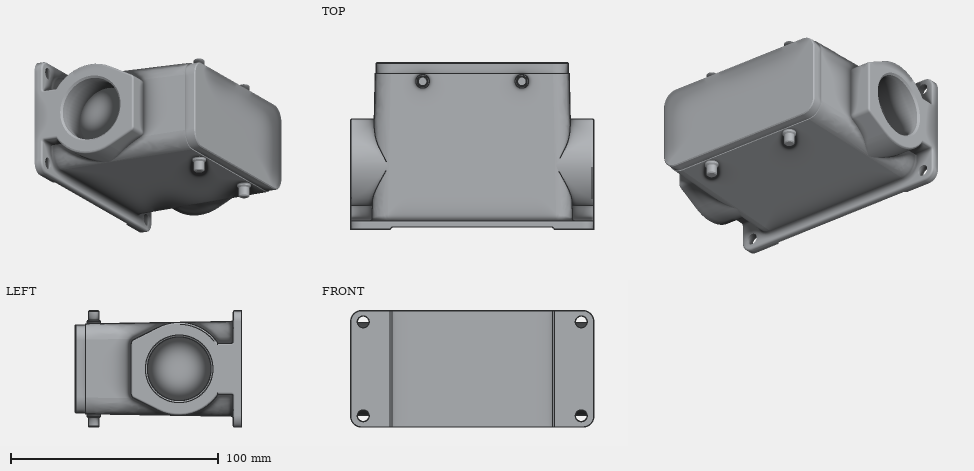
import cadquery as cq
import math


PLATE_LENGTH = 117.0
PLATE_HEIGHT = 56.0
PLATE_THICKNESS = 4.1
PLATE_CORNER_RADIUS = 5.3
MOUNTING_HOLE_DIAMETER = 5.6
MOUNTING_HOLE_INSET_X = 6.1
MOUNTING_HOLE_INSET_Z = 5.5
RECESS_LENGTH = 79.1
RECESS_DEPTH = 1.0

BODY_END = 75.0
BODY_LENGTH_AT_PLATE = 96.4
BODY_HEIGHT_AT_PLATE = 45.6
BODY_LENGTH_AT_END = 93.4
BODY_HEIGHT_AT_END = 43.3
BODY_CORNER_RADIUS = 7.7
RIM_END = 80.3
RIM_STEP = 0.5
RIM_CHAMFER = 0.5

BOSS_CENTER_Y = 30.1
BOSS_RADIUS = 22.3
BOSS_FLAT_Y = 53.1
BOSS_FLAT_HALF_HEIGHT = 13.5
BOSS_CORNER_FILLET = 2.1
BOSS_ROOT_X = 37.4
NECK_HALF_HEIGHT = 12.3
BORE_DIAMETER = 30.7
BORE_DEPTH = 19.3
BORE_CHAMFER = 0.9
EDGE_FILLET = 0.9
FOOT_FILLET = 0.9

PIN_X = 23.9
PIN_Y = 71.1
PIN_DIAMETER = 5.1
PIN_CHAMFER = 0.5
COLLAR_DIAMETER = 6.5
COLLAR_TOP = 23.5
COLLAR_CHAMFER = 0.999 * (COLLAR_DIAMETER - PIN_DIAMETER) / 2
SEAT_HEIGHT = 21.4
PIN_TOP = PLATE_HEIGHT / 2

SELECTION_MARGIN = 0.1

MIRRORED = (-1, 1)
PIN_PLACES = [(side_x * PIN_X, side_z) for side_x in MIRRORED for side_z in MIRRORED]


def section(y):
    """Workplane at height y whose normal is along +Y."""
    return cq.Workplane(cq.Plane(origin=(0, y, 0), xDir=(1, 0, 0), normal=(0, 1, 0)))


def make_plate():
    return (
        section(0)
        .rect(PLATE_LENGTH, PLATE_HEIGHT)
        .extrude(PLATE_THICKNESS)
        .edges("|Y")
        .fillet(PLATE_CORNER_RADIUS)
    )


def body_outline(length, height):
    return cq.Sketch().rect(length, height).vertices().fillet(BODY_CORNER_RADIUS)


def make_body():
    """Drafted block with rounded long edges."""
    near = body_outline(BODY_LENGTH_AT_PLATE, BODY_HEIGHT_AT_PLATE)
    far = body_outline(BODY_LENGTH_AT_END, BODY_HEIGHT_AT_END)
    far = far.moved(cq.Location(cq.Vector(0, 0, BODY_END - PLATE_THICKNESS)))
    return section(PLATE_THICKNESS).placeSketch(near, far).loft(ruled=True)


def make_rim():
    return (
        section(BODY_END)
        .rect(BODY_LENGTH_AT_END - 2 * RIM_STEP, BODY_HEIGHT_AT_END - 2 * RIM_STEP)
        .extrude(RIM_END - BODY_END)
        .edges("|Y")
        .fillet(BODY_CORNER_RADIUS - RIM_STEP)
        .faces(">Y")
        .chamfer(RIM_CHAMFER)
    )


def make_boss(side):
    """Boss whose outline has a round crown, sloping shoulders, a flat end and a straight neck."""
    corner_y = BOSS_FLAT_Y - BOSS_CENTER_Y
    corner_distance = math.hypot(corner_y, BOSS_FLAT_HALF_HEIGHT)
    tangent_angle = math.atan2(BOSS_FLAT_HALF_HEIGHT, corner_y) + math.acos(BOSS_RADIUS / corner_distance)
    tangent_y = BOSS_CENTER_Y + BOSS_RADIUS * math.cos(tangent_angle)
    tangent_z = BOSS_RADIUS * math.sin(tangent_angle)
    neck_y = BOSS_CENTER_Y - math.sqrt(BOSS_RADIUS**2 - NECK_HALF_HEIGHT**2)
    return (
        cq.Workplane("YZ", origin=(side * BOSS_ROOT_X, 0, 0))
        .moveTo(0, NECK_HALF_HEIGHT)
        .lineTo(neck_y, NECK_HALF_HEIGHT)
        .threePointArc((BOSS_CENTER_Y, BOSS_RADIUS), (tangent_y, tangent_z))
        .lineTo(BOSS_FLAT_Y, BOSS_FLAT_HALF_HEIGHT)
        .lineTo(BOSS_FLAT_Y, -BOSS_FLAT_HALF_HEIGHT)
        .lineTo(tangent_y, -tangent_z)
        .threePointArc((BOSS_CENTER_Y, -BOSS_RADIUS), (neck_y, -NECK_HALF_HEIGHT))
        .lineTo(0, -NECK_HALF_HEIGHT)
        .close()
        .extrude(side * (PLATE_LENGTH / 2 - BOSS_ROOT_X))
        .edges("|X and >Y")
        .fillet(BOSS_CORNER_FILLET)
    )


def make_bore(side):
    """Blind cable entry with a chamfered mouth."""
    bore = cq.Workplane("YZ", origin=(side * PLATE_LENGTH / 2, BOSS_CENTER_Y, 0)).circle(BORE_DIAMETER / 2)
    bore = bore.extrude(-side * BORE_DEPTH)
    mouth = cq.Solid.makeCone(
        BORE_DIAMETER / 2 + BORE_CHAMFER,
        BORE_DIAMETER / 2,
        BORE_CHAMFER,
        pnt=cq.Vector(side * PLATE_LENGTH / 2, BOSS_CENTER_Y, 0),
        dir=cq.Vector(-side, 0, 0),
    )
    return bore.union(cq.Workplane(mouth))


def make_recess():
    """Shallow relief across the mounting face, with sloping ends."""
    half = RECESS_LENGTH / 2
    floor_half = half - RECESS_DEPTH
    return (
        cq.Workplane("XY")
        .polyline([(-half, 0), (half, 0), (floor_half, RECESS_DEPTH), (-floor_half, RECESS_DEPTH)])
        .close()
        .extrude(PLATE_HEIGHT / 2, both=True)
    )


def make_mounting_holes():
    spacing_x = PLATE_LENGTH - 2 * MOUNTING_HOLE_INSET_X
    spacing_z = PLATE_HEIGHT - 2 * MOUNTING_HOLE_INSET_Z
    return (
        section(0)
        .rect(spacing_x, spacing_z, forConstruction=True)
        .vertices()
        .circle(MOUNTING_HOLE_DIAMETER / 2)
        .extrude(PLATE_THICKNESS)
    )


def make_cylinder(x, side, diameter, top):
    """Cylinder that stands on the seat level, pointing away from the body along Z."""
    return (
        cq.Workplane("XY", origin=(x, PIN_Y, side * SEAT_HEIGHT))
        .circle(diameter / 2)
        .extrude(side * (top - SEAT_HEIGHT))
    )


def outer_face(side):
    return ">Z" if side > 0 else "<Z"


def make_pin(x, side):
    return make_cylinder(x, side, PIN_DIAMETER, PIN_TOP).faces(outer_face(side)).chamfer(PIN_CHAMFER)


def make_collar(x, side):
    """Bevelled ring around a pin."""
    collar = make_cylinder(x, side, COLLAR_DIAMETER, COLLAR_TOP)
    collar = collar.faces(outer_face(side)).chamfer(COLLAR_CHAMFER)
    return collar.cut(make_cylinder(x, side, PIN_DIAMETER, COLLAR_TOP))


def fillet_foot(housing):
    """Rounds the corner where the body and the boss necks rise from the plate."""
    half_length = PLATE_LENGTH / 2 - EDGE_FILLET
    half_height = BODY_HEIGHT_AT_PLATE / 2 + SELECTION_MARGIN
    foot_box = cq.selectors.BoxSelector(
        (-half_length, PLATE_THICKNESS - SELECTION_MARGIN, -half_height),
        (half_length, PLATE_THICKNESS + SELECTION_MARGIN, half_height),
    )
    return housing.edges(foot_box).fillet(FOOT_FILLET)


def make_housing():
    housing = make_plate().union(make_body())
    for side in MIRRORED:
        housing = housing.union(make_boss(side))
    housing = housing.clean()
    housing = fillet_foot(housing)
    housing = housing.faces("<X or >X").edges("not <Y").fillet(EDGE_FILLET)
    housing = housing.union(make_rim())
    for side in MIRRORED:
        housing = housing.cut(make_bore(side))
    housing = housing.cut(make_recess()).cut(make_mounting_holes())
    for x, side in PIN_PLACES:
        housing = housing.cut(make_cylinder(x, side, COLLAR_DIAMETER, COLLAR_TOP))
    return housing


housing = make_housing()
pins = [make_pin(x, side).val() for x, side in PIN_PLACES]
collars = [make_collar(x, side).val() for x, side in PIN_PLACES]

result = cq.Compound.makeCompound([housing.val(), *pins, *collars])